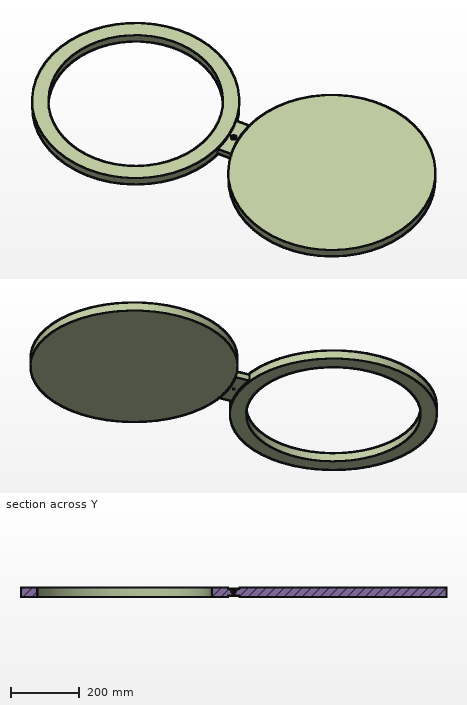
import cadquery as cq

overall_length = 1238.0
plate_diameter = 603.0
plate_thickness = 28.0
ring_bore_diameter = 508.0

bridge_width = 123.0
bridge_thickness = 21.0

hole_diameter = 5.0
middle_step_diameter = 10.0
top_step_diameter = 16.0
step_height = 5.0

plate_offset = (overall_length - plate_diameter) / 2
plate_gap = overall_length - 2 * plate_diameter
rim_width = (plate_diameter - ring_bore_diameter) / 2
bridge_top = bridge_thickness / 2


def cylinder(diameter, bottom, height, center_x=0):
    """Upright cylinder standing on the level Z = bottom."""
    base = cq.Workplane("XY", origin=(center_x, 0, bottom))
    return base.circle(diameter / 2).extrude(height)


def plate(center_x):
    """Full round plate."""
    return cylinder(plate_diameter, -plate_thickness / 2, plate_thickness, center_x)


def ring():
    """Left plate, opened by a concentric bore."""
    bore = cylinder(ring_bore_diameter, -plate_thickness / 2, plate_thickness, -plate_offset)
    return plate(-plate_offset).cut(bore)


def bridge():
    """Thinner bar whose ends are buried half a rim width inside the plates."""
    return cq.Workplane("XY").box(plate_gap + rim_width, bridge_width, bridge_thickness)


def stepped_hole():
    """Through hole widened in two equal steps towards the top of the bridge."""
    cutter = cylinder(hole_diameter, -bridge_top, bridge_thickness)
    for diameter, depth in (
        (middle_step_diameter, 2 * step_height),
        (top_step_diameter, step_height),
    ):
        cutter = cutter.union(cylinder(diameter, bridge_top - depth, depth))
    return cutter


result = ring().union(bridge()).union(plate(plate_offset)).cut(stepped_hole())